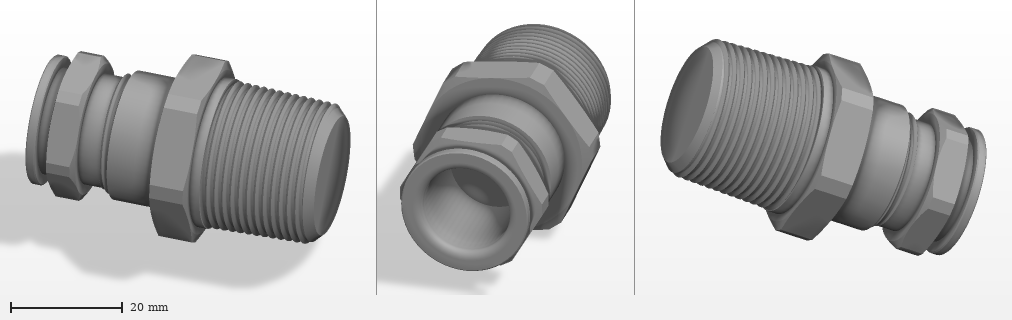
import cadquery as cq
import math


TOTAL_LENGTH = 53.9
FLANGE_END = 1.7
NUT_START = 3.45
NUT_HEX_END = 9.45
NUT_THREAD_START = 13.15
COLLAR_START = 15.3
SEAT = 19.4
BODY_HEX_START = 24.35
BODY_HEX_END = 31.4
SHOULDER_END = 33.25

FLANGE_DIAMETER = 23.6
FLANGE_EDGE_CHAMFER = 0.2
NECK_DIAMETER = 19.45
SLEEVE_TAIL_DIAMETER = 17.8
SLEEVE_BORE_DIAMETER = 16.2
MOUTH_DIAMETER = 19.25
MOUTH_FILLET = (MOUTH_DIAMETER - SLEEVE_BORE_DIAMETER) / 2

HEX_SIDES = 6
NUT_FLATS = 24.0
BODY_FLATS = 30.0
CORNER_RATIO = 1.1
BODY_HEX_TURN = -6.7
SHALLOW_CHAMFER = 15.0
STEEP_CHAMFER = 30.0

STEM_DIAMETER = 20.2
COLLAR_DIAMETER = FLANGE_DIAMETER
SHOULDER_DIAMETER = 27.3
PLUG_DIAMETER = 15.9
END_CHAMFER = 1.2

CREST_RUN = 18.0
TURNS_IN_RUN = 12
PITCH = CREST_RUN / TURNS_IN_RUN
RIDGE_WIDTH = 1.0
RIDGE_SINK = 0.1
STEM_RIDGE_HEIGHT = 0.8
STEM_THREAD_CREST = 13.7
TAPER_RIDGE_HEIGHT = 0.75
TAPER_THREAD_CREST = 34.15
TAPER_RATIO = 1 / 32
TAPER_ROOT_RADIUS = 12.7


def taper_root_radius(x):
    """Radius of the tapered core at station x."""
    return TAPER_ROOT_RADIUS - (x - SHOULDER_END) * TAPER_RATIO


def revolved(points):
    """Solid of revolution about X, from (x, radius) points."""
    return cq.Workplane("XY").polyline(points).close().revolve(360, (0, 0, 0), (1, 0, 0))


def cylinder(start, end, diameter):
    return cq.Workplane("YZ", origin=(start, 0, 0)).circle(diameter / 2).extrude(end - start)


def hex_prism(start, end, flats, turn=0.0):
    """Hexagon with flat-trimmed corners; one corner points along +Y before the turn."""
    half_side_angle = 180 / HEX_SIDES
    across_points = flats / math.cos(math.radians(half_side_angle))
    trim_across_points = across_points * CORNER_RATIO
    plane = cq.Workplane("YZ", origin=(start, 0, 0))
    hexagon = plane.polygon(HEX_SIDES, across_points).extrude(end - start)
    trim = plane.polygon(HEX_SIDES, trim_across_points).extrude(end - start)
    trim = trim.rotate((0, 0, 0), (1, 0, 0), half_side_angle)
    return hexagon.intersect(trim).rotate((0, 0, 0), (1, 0, 0), turn)


def chamfer_envelope(start, end, start_radius, start_angle, end_radius, end_angle, outer_radius):
    """Turned shape that chamfers the corners of a hexagon; angles are from the end faces."""
    start_depth = (outer_radius - start_radius) * math.tan(math.radians(start_angle))
    end_depth = (outer_radius - end_radius) * math.tan(math.radians(end_angle))
    return revolved([
        (start, 0),
        (start, start_radius),
        (start + start_depth, outer_radius),
        (end - end_depth, outer_radius),
        (end, end_radius),
        (end, 0),
    ])


def helical_ridge(start, turns, root_radius, height, **cone):
    """Right-handed triangular ridge about X; its crest starts on the +Z side at station start."""
    path = cq.Wire.makeHelix(PITCH, turns * PITCH, root_radius, **cone)
    half_width = RIDGE_WIDTH / 2
    flare = half_width * RIDGE_SINK / height
    base_radius = root_radius - RIDGE_SINK
    profile = cq.Workplane("XZ").polyline([
        (base_radius, -half_width - flare),
        (root_radius + height, 0),
        (base_radius, half_width + flare),
    ]).close()
    ridge = profile.sweep(cq.Workplane(path), isFrenet=True).val()
    axis = cq.Plane(origin=(start, 0, 0), xDir=(0, 0, 1), normal=(1, 0, 0))
    return cq.Workplane(ridge.moved(cq.Location(axis)))


def make_stem():
    """Threaded stem of the nut, also the shape of the socket that it fills."""
    start = STEM_THREAD_CREST - PITCH
    turns = (SEAT + RIDGE_WIDTH - start) / PITCH
    ridge = helical_ridge(start, turns, STEM_DIAMETER / 2, STEM_RIDGE_HEIGHT)
    ridge = ridge.intersect(cylinder(NUT_THREAD_START, SEAT, SHOULDER_DIAMETER))
    return cylinder(NUT_HEX_END, SEAT, STEM_DIAMETER).union(ridge)


def tapered_spigot():
    """Shoulder and tapered core with its thread; the thread starts inside the shoulder."""
    core = revolved([
        (SHOULDER_END, 0),
        (SHOULDER_END, TAPER_ROOT_RADIUS),
        (TOTAL_LENGTH, taper_root_radius(TOTAL_LENGTH)),
        (TOTAL_LENGTH, 0),
    ])
    start = TAPER_THREAD_CREST - PITCH
    turns = (TOTAL_LENGTH - END_CHAMFER + RIDGE_WIDTH / 2 - start) / PITCH
    cone_angle = -math.degrees(math.atan(TAPER_RATIO))
    thread = helical_ridge(start, turns, taper_root_radius(start), TAPER_RIDGE_HEIGHT, angle=cone_angle)
    spigot = core.union(thread)
    spigot = spigot.union(cylinder(BODY_HEX_END, SHOULDER_END, SHOULDER_DIAMETER))

    end_radius = taper_root_radius(TOTAL_LENGTH) - END_CHAMFER
    reach = 3 * END_CHAMFER
    return spigot.cut(revolved([
        (TOTAL_LENGTH - reach, end_radius + reach),
        (TOTAL_LENGTH, end_radius),
        (TOTAL_LENGTH + reach, end_radius),
        (TOTAL_LENGTH + reach, end_radius + reach),
    ]))


def make_sleeve():
    sleeve = cylinder(0, FLANGE_END, FLANGE_DIAMETER).edges().chamfer(FLANGE_EDGE_CHAMFER)
    sleeve = sleeve.union(cylinder(FLANGE_END, NUT_START, NECK_DIAMETER))
    sleeve = sleeve.union(cylinder(NUT_START, SEAT, SLEEVE_TAIL_DIAMETER))
    sleeve = sleeve.cut(cylinder(0, SEAT, SLEEVE_BORE_DIAMETER))
    smallest_circle = cq.selectors.RadiusNthSelector(0)
    return sleeve.faces("<X").edges(smallest_circle).fillet(MOUTH_FILLET)


def make_nut(stem):
    nut = hex_prism(NUT_START, NUT_HEX_END, NUT_FLATS)
    nut = nut.intersect(chamfer_envelope(
        NUT_START, NUT_HEX_END,
        NECK_DIAMETER / 2, SHALLOW_CHAMFER,
        NUT_FLATS / 2, STEEP_CHAMFER,
        NUT_FLATS * CORNER_RATIO,
    ))
    nut = nut.union(stem)
    return nut.cut(cylinder(NUT_START, SEAT, SLEEVE_TAIL_DIAMETER))


def make_body(stem):
    front = hex_prism(BODY_HEX_START, BODY_HEX_END, BODY_FLATS, BODY_HEX_TURN)
    front = front.intersect(chamfer_envelope(
        BODY_HEX_START, BODY_HEX_END,
        BODY_FLATS / 2, SHALLOW_CHAMFER,
        BODY_FLATS / 2, SHALLOW_CHAMFER,
        BODY_FLATS * CORNER_RATIO,
    ))
    front = front.union(cylinder(COLLAR_START, BODY_HEX_START, COLLAR_DIAMETER))
    front = front.cut(stem)
    body = tapered_spigot().union(front)
    return body.cut(cylinder(SEAT, TOTAL_LENGTH, PLUG_DIAMETER))


def make_plug():
    """Core that fills the body's bore, flush with both of its ends."""
    return cylinder(SEAT, TOTAL_LENGTH, PLUG_DIAMETER)


nut_stem = make_stem()
sleeve = make_sleeve()
nut = make_nut(nut_stem)
body = make_body(nut_stem)
plug = make_plug()

result = cq.Compound.makeCompound([sleeve.val(), nut.val(), body.val(), plug.val()])